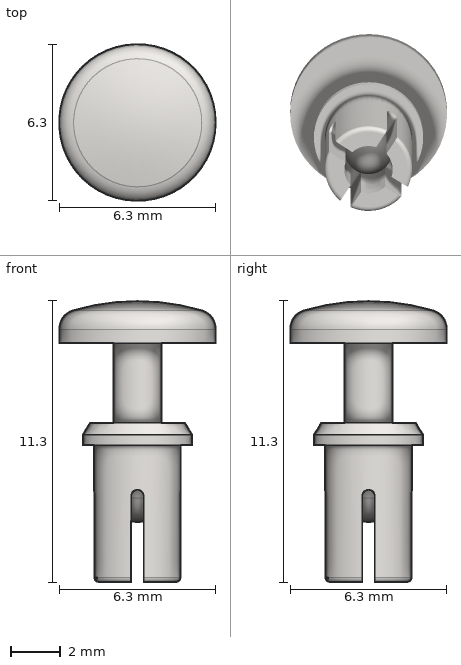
import cadquery as cq
import math

TOTAL_HEIGHT = 11.3

PIN_RADIUS = 1.94 / 2
PIN_TIP_Z = 2.41
HEAD_RADIUS = 6.3 / 2
HEAD_BOTTOM_Z = 9.6
HEAD_RIM_HEIGHT = 0.55
HEAD_EDGE_RADIUS = 0.8

BARREL_RADIUS = 3.5 / 2
BARREL_END_FILLET = 0.19
COLLAR_RADIUS = 4.4 / 2
COLLAR_TOP_RADIUS = 1.91
COLLAR_BOTTOM_Z = 5.5
COLLAR_RIM_HEIGHT = 0.42
COLLAR_HEIGHT = 0.89
SLOT_WIDTH = 0.5
SLOT_TOP_Z = 3.71


def make_pin():
    """Revolve the domed head, the shank and its hemispherical tip about Z."""
    rim_top_z = HEAD_BOTTOM_Z + HEAD_RIM_HEIGHT
    rise = TOTAL_HEIGHT - rim_top_z
    edge_center_x = HEAD_RADIUS - HEAD_EDGE_RADIUS
    dome_radius = (edge_center_x**2 + rise**2 - HEAD_EDGE_RADIUS**2) / (2 * (rise - HEAD_EDGE_RADIUS))
    dome_center_z = TOTAL_HEIGHT - dome_radius
    dome_angle = math.atan2(edge_center_x, rim_top_z - dome_center_z)
    edge_mid_angle = (dome_angle + math.pi / 2) / 2

    def dome_point(angle):
        return (dome_radius * math.sin(angle), dome_center_z + dome_radius * math.cos(angle))

    edge_mid = (
        edge_center_x + HEAD_EDGE_RADIUS * math.sin(edge_mid_angle),
        rim_top_z + HEAD_EDGE_RADIUS * math.cos(edge_mid_angle),
    )

    tip_center_z = PIN_TIP_Z + PIN_RADIUS
    tip_mid_offset = PIN_RADIUS * math.sqrt(0.5)
    return (
        cq.Workplane("XZ")
        .moveTo(0, PIN_TIP_Z)
        .threePointArc((tip_mid_offset, tip_center_z - tip_mid_offset), (PIN_RADIUS, tip_center_z))
        .lineTo(PIN_RADIUS, HEAD_BOTTOM_Z)
        .lineTo(HEAD_RADIUS, HEAD_BOTTOM_Z)
        .lineTo(HEAD_RADIUS, rim_top_z)
        .threePointArc(edge_mid, dome_point(dome_angle))
        .threePointArc(dome_point(dome_angle / 2), (0, TOTAL_HEIGHT))
        .close()
        .revolve(360, (0, 0), (0, 1))
    )


def make_slot_cutter(plane):
    """Round-topped slot through the whole barrel, open at the bottom."""
    half_width = SLOT_WIDTH / 2
    straight_top_z = SLOT_TOP_Z - half_width
    return (
        cq.Workplane(plane)
        .moveTo(-half_width, 0)
        .lineTo(-half_width, straight_top_z)
        .threePointArc((0, SLOT_TOP_Z), (half_width, straight_top_z))
        .lineTo(half_width, 0)
        .close()
        .extrude(BARREL_RADIUS * 2, both=True)
    )


def make_socket():
    """Barrel with a bevelled collar, a through bore for the pin and two crossing slots."""
    barrel = cq.Workplane("XY").circle(BARREL_RADIUS).extrude(COLLAR_BOTTOM_Z)
    barrel = barrel.faces("<Z").edges().fillet(BARREL_END_FILLET)

    collar_top_z = COLLAR_BOTTOM_Z + COLLAR_HEIGHT
    collar = (
        cq.Workplane("XZ")
        .moveTo(0, COLLAR_BOTTOM_Z)
        .lineTo(COLLAR_RADIUS, COLLAR_BOTTOM_Z)
        .lineTo(COLLAR_RADIUS, COLLAR_BOTTOM_Z + COLLAR_RIM_HEIGHT)
        .lineTo(COLLAR_TOP_RADIUS, collar_top_z)
        .lineTo(0, collar_top_z)
        .close()
        .revolve(360, (0, 0), (0, 1))
    )

    bore = cq.Workplane("XY").circle(PIN_RADIUS).extrude(collar_top_z)
    socket = barrel.union(collar).cut(bore)
    for plane in ("XZ", "YZ"):
        socket = socket.cut(make_slot_cutter(plane))
    return socket


pin = make_pin()
socket = make_socket()
result = cq.Compound.makeCompound([pin.val(), *socket.solids().vals()])